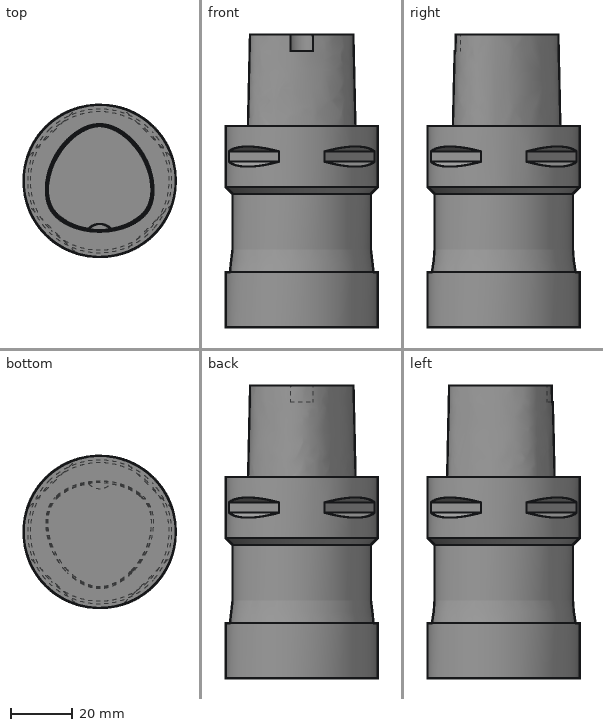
import cadquery as cq
import math

total_height = 96.0
outer_diameter = 50.0
nut_height = 18.0
cone_top = 25.4
collar_chamfer_bottom = 43.8
collar_chamfer_top = 46.0
collar_top = 66.0

outer_radius = outer_diameter / 2
neck_radius = 45.5 / 2
cone_base_radius = 23.6

shank_base_radius = 17.7
shank_top_radius = 17.0
lobe_height = 1.0
lobe_direction = math.pi / 2
lobe_count = 3
points_per_lobe = 12

notch_radius = 4.8
notch_depth = 5.5
notch_reach = 14.1

slot_count = 4
slot_level = 56.0
slot_floor_distance = 22.2
slot_floor_height = 3.4
slot_mouth_height = 6.6
slot_length = outer_diameter


def lobed_section(level, mean_radius):
    """Closed wire of constant width, offset lobe_height in and out of a circle."""
    point_count = lobe_count * points_per_lobe
    points = []
    for index in range(point_count):
        angle = 2 * math.pi * index / point_count
        phase = lobe_count * (angle - lobe_direction)
        support = mean_radius + lobe_height * math.cos(phase)
        slope = -lobe_count * lobe_height * math.sin(phase)
        points.append(cq.Vector(
            support * math.cos(angle) - slope * math.sin(angle),
            support * math.sin(angle) + slope * math.cos(angle),
            level,
        ))
    edge = cq.Edge.makeSpline(points, periodic=True)
    return cq.Wire.assembleEdges([edge])


def make_shank():
    base = lobed_section(collar_top, shank_base_radius)
    top = lobed_section(total_height, shank_top_radius)
    shank = cq.Workplane(cq.Solid.makeLoft([base, top], True))
    notch = (
        cq.Workplane("XY", origin=(0, -notch_reach - notch_radius, total_height - notch_depth))
        .circle(notch_radius)
        .extrude(notch_depth)
    )
    return shank.cut(notch)


def make_gripper_slot():
    """Trapezoidal groove facing +X, flaring towards its mouth."""
    mouth_distance = outer_radius
    return (
        cq.Workplane("XZ")
        .moveTo(slot_floor_distance, slot_level - slot_floor_height / 2)
        .lineTo(mouth_distance, slot_level - slot_mouth_height / 2)
        .lineTo(mouth_distance, slot_level + slot_mouth_height / 2)
        .lineTo(slot_floor_distance, slot_level + slot_floor_height / 2)
        .close()
        .extrude(slot_length / 2, both=True)
    )


def make_holder():
    """Turned neck and gripper collar with the lobed shank on top."""
    body = (
        cq.Workplane("XZ")
        .moveTo(0, nut_height)
        .lineTo(cone_base_radius, nut_height)
        .lineTo(neck_radius, cone_top)
        .lineTo(neck_radius, collar_chamfer_bottom)
        .lineTo(outer_radius, collar_chamfer_top)
        .lineTo(outer_radius, collar_top)
        .lineTo(0, collar_top)
        .close()
        .revolve(360, (0, 0), (0, 1))
    )
    slot = make_gripper_slot()
    slot_pitch = 360 / slot_count
    for index in range(slot_count):
        turn = (index + 0.5) * slot_pitch
        body = body.cut(slot.rotate((0, 0, 0), (0, 0, 1), turn))
    return body.union(make_shank())


def make_nut():
    return cq.Workplane("XY").circle(outer_radius).extrude(nut_height)


holder = make_holder()
nut = make_nut()

result = cq.Compound.makeCompound([holder.val(), nut.val()])